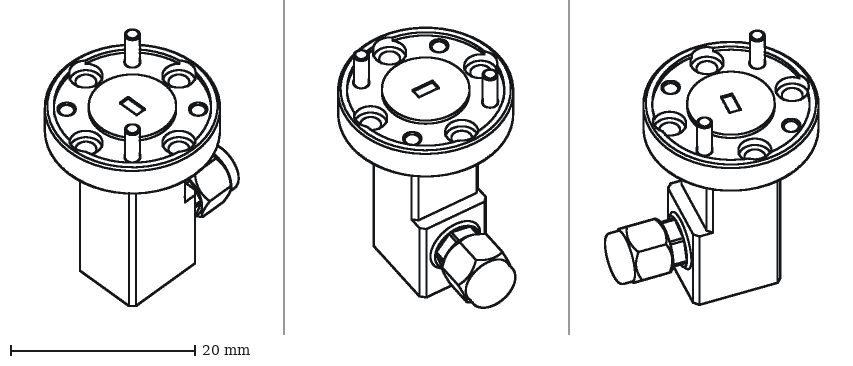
import cadquery as cq
import math


flange_diameter = 19.05
flange_radius = flange_diameter / 2
flange_thickness = 4.1
flange_chamfer = 0.28
rim_inner_radius = 8.55
boss_radius = flange_diameter / 4
recess_depth = 0.5
bolt_circle_radius = 7.145
screw_hole_radius = 1.135
counterbore_radius = 1.8
counterbore_depth = 1.0
screw_angles = [0, 90, 180, 270]

pin_radius = 0.815
pin_height = 3.87
pin_chamfer = 0.15
pin_mouth_chamfer = 0.07
open_mouth_chamfer = 0.18
pin_angles = [135, 315]
open_hole_angles = [45, 225]

port_width = 2.6
port_height = 1.28
port_depth = 0.25

overall_depth = 25.4
block_half_width = 4.3
block_chamfer = 0.54
step_back = 5.88
step_top = -14.69

connector_z = -19.285
hex_turn = 11.2
collar_length = 0.36
collar_end_radius = 2.87
collar_taper = 45
neck_length = 1.59
neck_across_flats = 5.0
neck_corner_radius = 2.8
nut_hex_length = 4.49
nut_across_flats = 6.06
nut_end_radius = 2.87
overall_back = 13.705
turned_clearance = 0.4
nut_edge_fillet = 0.4
collar_end = step_back + collar_length
neck_end = collar_end + neck_length
nut_hex_end = neck_end + nut_hex_length

recess_floor = -recess_depth


def disc(radius, bottom, top):
    return cq.Workplane("XY").workplane(offset=bottom).circle(radius).extrude(top - bottom)


def on_bolt_circle(angle):
    turn = math.radians(angle)
    return (bolt_circle_radius * math.cos(turn), bolt_circle_radius * math.sin(turn))


def countersunk_hole(angle, mouth_chamfer):
    """Cutter for an alignment hole with a 45 degree mouth at the recess floor."""
    mouth_radius = pin_radius + mouth_chamfer
    profile = [
        (0, -flange_thickness),
        (pin_radius, -flange_thickness),
        (pin_radius, recess_floor - mouth_chamfer),
        (mouth_radius, recess_floor),
        (0, recess_floor),
    ]
    cutter = cq.Workplane("XZ").polyline(profile).close().revolve(360, (0, 0), (0, 1))
    return cutter.translate((*on_bolt_circle(angle), 0))


def counterbored_hole(angle):
    """Cutter for a screw hole whose counterbore also clips the rim."""
    counterbore = disc(counterbore_radius, recess_floor - counterbore_depth, 0)
    cutter = disc(screw_hole_radius, -flange_thickness, 0).union(counterbore)
    return cutter.translate((*on_bolt_circle(angle), 0))


def make_flange():
    flange = disc(flange_radius, -flange_thickness, 0).edges().chamfer(flange_chamfer)
    recess = disc(rim_inner_radius, recess_floor, 0).cut(disc(boss_radius, recess_floor, 0))
    flange = flange.cut(recess)
    for angle in screw_angles:
        flange = flange.cut(counterbored_hole(angle))
    for angle in pin_angles:
        flange = flange.cut(countersunk_hole(angle, pin_mouth_chamfer))
    for angle in open_hole_angles:
        flange = flange.cut(countersunk_hole(angle, open_mouth_chamfer))
    port = cq.Workplane("XY").rect(port_width, port_height).extrude(-port_depth)
    return flange.cut(port)


def chamfered_post(back, top):
    """Rectangular post from the bottom up to `top`, with its four upright edges chamfered."""
    post = cq.Workplane("XY").box(
        2 * block_half_width, back + block_half_width, overall_depth + top, centered=(True, False, False)
    )
    return post.edges("|Z").chamfer(block_chamfer).translate((0, -block_half_width, -overall_depth))


def make_housing():
    upper = chamfered_post(block_half_width, -flange_thickness)
    lower = chamfered_post(step_back, step_top)
    return make_flange().union(upper).union(lower)


def make_pin(angle):
    pin = disc(pin_radius, -flange_thickness, pin_height).faces(">Z").chamfer(pin_chamfer)
    return pin.translate((*on_bolt_circle(angle), 0))


def connector_plane(y):
    """Plane across the connector axis, facing outward along +Y."""
    return cq.Workplane(cq.Plane(origin=(0, y, connector_z), xDir=(1, 0, 0), normal=(0, 1, 0)))


def hex_bar(across_flats, start, end):
    across_corners = across_flats / math.cos(math.radians(30))
    bar = connector_plane(start).polygon(6, across_corners).extrude(end - start)
    axis_start = (0, start, connector_z)
    axis_end = (0, end, connector_z)
    return bar.rotate(axis_start, axis_end, -hex_turn)


def make_connector():
    """Conical collar against the block, then a hexagonal neck with rounded corners."""
    collar_base_radius = collar_end_radius + collar_length
    collar = connector_plane(step_back).circle(collar_base_radius).extrude(collar_length, taper=collar_taper)
    neck_round = connector_plane(collar_end).circle(neck_corner_radius).extrude(neck_length)
    neck = hex_bar(neck_across_flats, collar_end, neck_end).intersect(neck_round)
    return collar.union(neck)


def make_coupling_nut():
    """Hexagonal nut with 45 degree turned ends and a round outer band."""
    corner_radius = nut_across_flats / 2 / math.cos(math.radians(30))
    turned_radius = corner_radius + turned_clearance
    turned_chamfer = turned_radius - nut_end_radius
    turned = connector_plane(neck_end).circle(turned_radius).extrude(nut_hex_length)
    turned = turned.edges().chamfer(turned_chamfer)
    hexagon = hex_bar(nut_across_flats, neck_end, nut_hex_end).intersect(turned)
    band = connector_plane(nut_hex_end).circle(nut_end_radius).extrude(overall_back - nut_hex_end)
    band = band.faces(">Y").edges().fillet(nut_edge_fillet)
    return hexagon.union(band)


housing = make_housing()
pins = [make_pin(angle) for angle in pin_angles]
connector = make_connector()
coupling_nut = make_coupling_nut()

result = cq.Compound.makeCompound(
    [housing.val(), *[pin.val() for pin in pins], connector.val(), coupling_nut.val()]
)